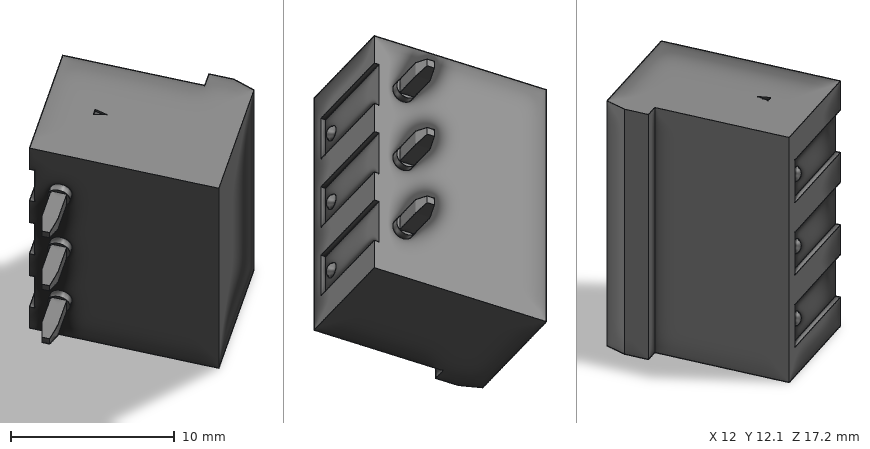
import cadquery as cq
import math

pin_count = 3
pin_pitch = 5.09
pin_x = 2.0

height = 17.24
width = 12.0
depth = 7.64
rib_x = 9.0
rib_rise = 0.95
bevel_length = 1.41
bevel_drop = 0.5

pocket_width = 3.0
pocket_length = 6.75
pocket_depth = 0.33
dome_radius = 0.5
dome_y = 5.95

collar_diameter = 1.41
collar_length = 0.5
pin_side = 1.0
pin_straight_end = 2.52
pin_length = 3.52
tip_side = 0.5

marker_x = 3.05
marker_length = 0.8
marker_width = 0.4
marker_depth = 0.15


def make_housing():
    """Block whose back face carries a bevelled rib, extruded over the full height."""
    back = depth + rib_rise
    profile = [
        (0, 0),
        (width, 0),
        (width, back - bevel_drop),
        (width - bevel_length, back),
        (rib_x, back),
        (rib_x, depth),
        (0, depth),
    ]
    return cq.Workplane("XY").polyline(profile).close().extrude(height)


def make_pocket(z):
    """Shallow recess in the -X face, open towards the front."""
    centered_in_z_only = (False, False, True)
    pocket = cq.Workplane("XY").box(
        pocket_depth, pocket_length, pocket_width, centered=centered_in_z_only
    )
    return pocket.translate((0, 0, z))


def make_dome(z):
    """Spherical cap rising from the pocket floor to the level of the -X face."""
    sphere_radius = (dome_radius**2 + pocket_depth**2) / (2 * pocket_depth)
    return cq.Workplane("XY").sphere(sphere_radius).translate((sphere_radius, dome_y, z))


def make_pin(z):
    """Round collar, square shank and tapered square tip, pointing towards -Y."""
    front = cq.Workplane("XZ", origin=(pin_x, 0, z))
    collar = front.circle(collar_diameter / 2).extrude(collar_length)
    shank = (
        front.workplane(offset=collar_length)
        .rect(pin_side, pin_side)
        .extrude(pin_straight_end - collar_length)
    )
    taper_length = pin_length - pin_straight_end
    taper_angle = math.degrees(math.atan((pin_side - tip_side) / 2 / taper_length))
    tip = (
        front.workplane(offset=pin_straight_end)
        .rect(pin_side, pin_side)
        .extrude(taper_length, taper=taper_angle)
    )
    return collar.union(shank).union(tip)


def make_marker():
    """Small triangle pointing towards +X, sunk into the top face."""
    middle = depth / 2
    corners = [
        (marker_x, middle - marker_width / 2),
        (marker_x + marker_length, middle),
        (marker_x, middle + marker_width / 2),
    ]
    floor = cq.Workplane("XY", origin=(0, 0, height - marker_depth))
    return floor.polyline(corners).close().extrude(marker_depth)


result = make_housing().cut(make_marker())
for index in range(pin_count):
    pin_z = height / 2 + (index - (pin_count - 1) / 2) * pin_pitch
    result = result.cut(make_pocket(pin_z)).union(make_dome(pin_z)).union(make_pin(pin_z))